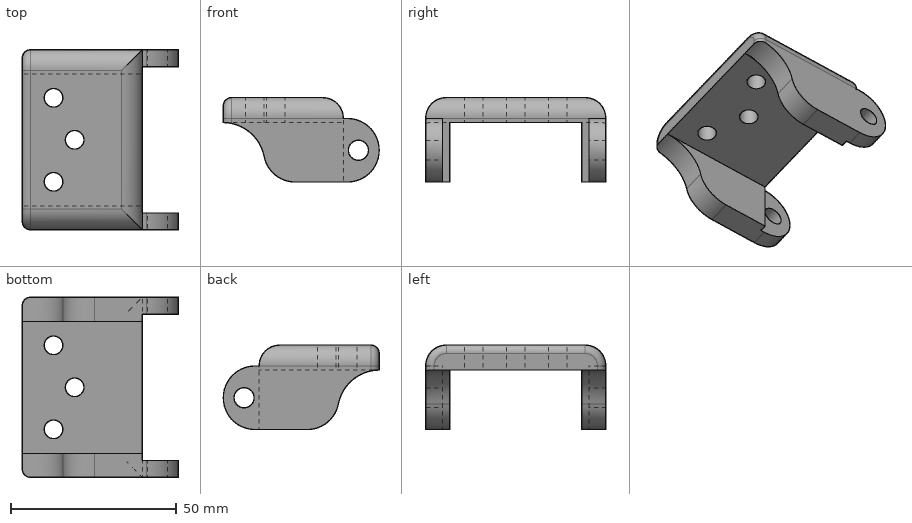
import cadquery as cq
import math

length = 47.25
width = 54.55
height = 25.65
plate_length = 36.4
plate_thickness = 7.65
edge_radius = 6.35
end_radius = 2.55

leg_thickness = 7.3
lug_thickness = 5.2
toe_center_x = 21.8
pivot_x = 40.9
pivot_diameter = 6.0

screw_diameter = 5.55
screw_spacing = 25.4
outer_screw_x = 9.5
middle_screw_x = 15.9
screw_points = [
    (outer_screw_x, -screw_spacing / 2),
    (middle_screw_x, 0),
    (outer_screw_x, screw_spacing / 2),
]

leg_top = -edge_radius
leg_radius = (height - edge_radius) / 2
leg_axis = leg_top - leg_radius
nose_center_x = length - leg_radius
half_width = width / 2

drop = -plate_thickness - leg_axis
hollow_radius = (toe_center_x**2 + drop**2 - leg_radius**2) / (2 * (drop + leg_radius))
hollow_center_z = -plate_thickness - hollow_radius
slope = math.atan2(leg_axis - hollow_center_z, toe_center_x)


def arc_point(center_x, center_z, radius, angle):
    return (center_x + radius * math.cos(angle), center_z + radius * math.sin(angle))


def make_plate():
    """Plate with its +X top edge rounded, extruded across the full width."""
    return (
        cq.Workplane("XZ", origin=(0, half_width, 0))
        .lineTo(plate_length - edge_radius, 0)
        .radiusArc((plate_length, -edge_radius), edge_radius)
        .lineTo(plate_length, -plate_thickness)
        .lineTo(0, -plate_thickness)
        .close()
        .extrude(width)
    )


def make_leg():
    """Leg on the -Y side, stepped to the thinner lug on its inner face."""
    toe_angle = slope + math.pi
    toe_middle = (toe_angle + 1.5 * math.pi) / 2
    hollow_middle = (slope + math.pi / 2) / 2
    leg = (
        cq.Workplane("XZ", origin=(0, -half_width, 0))
        .moveTo(0, leg_top)
        .lineTo(nose_center_x, leg_top)
        .threePointArc((length, leg_axis), (nose_center_x, -height))
        .lineTo(toe_center_x, -height)
        .threePointArc(
            arc_point(toe_center_x, leg_axis, leg_radius, toe_middle),
            arc_point(toe_center_x, leg_axis, leg_radius, toe_angle),
        )
        .threePointArc(
            arc_point(0, hollow_center_z, hollow_radius, hollow_middle),
            (0, -plate_thickness),
        )
        .close()
        .extrude(-leg_thickness)
    )
    lug_relief = cq.Workplane("XY").box(
        length - plate_length, leg_thickness - lug_thickness, height, centered=False
    ).translate((plate_length, lug_thickness - half_width, -height))
    pivot_hole = (
        cq.Workplane("XZ", origin=(pivot_x, -half_width, leg_axis))
        .circle(pivot_diameter / 2)
        .extrude(-leg_thickness)
    )
    return leg.cut(lug_relief).cut(pivot_hole)


def make_envelope():
    """Round-shouldered block that shapes the sides and the -X end."""
    shoulder = half_width - edge_radius
    return (
        cq.Workplane("YZ")
        .moveTo(-half_width, -height)
        .lineTo(-half_width, -edge_radius)
        .radiusArc((-shoulder, 0), edge_radius)
        .lineTo(shoulder, 0)
        .radiusArc((half_width, -edge_radius), edge_radius)
        .lineTo(half_width, -height)
        .close()
        .extrude(length)
        .faces("<X")
        .edges("not <Z")
        .fillet(end_radius)
    )


leg = make_leg()
body = make_plate().union(leg).union(leg.mirror("XZ"))
body = body.intersect(make_envelope())

screw_holes = (
    cq.Workplane("XY")
    .pushPoints(screw_points)
    .circle(screw_diameter / 2)
    .extrude(-plate_thickness)
)
result = body.cut(screw_holes)